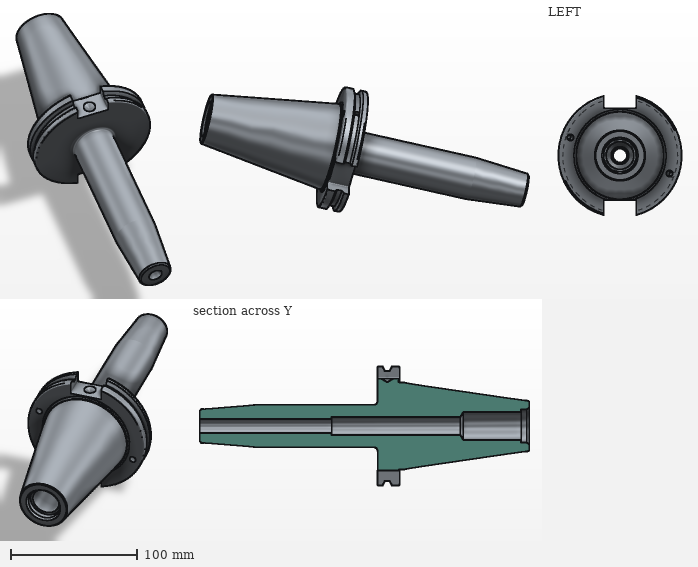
import cadquery as cq
import math

total_length = 261.5

taper_length = 101.5
taper_large_dia = 69.8
taper_ratio = 7 / 24
taper_edge_chamfer = 0.8

neck_dia = 69.3
undercut_dia = 73.2

flange_dia = 98.0
flange_rear_x = 102.8
flange_front_x = 120.5
flange_fillet = 1.3

groove_x = 112.7
groove_mouth_width = 7.0
groove_floor_width = 4.0
groove_depth = 3.5

slot_width = 25.6
slot_top_floor = 37.7
slot_bottom_floor = 35.3
slot_fillet = 0.8

drill_tip_angle = 118

dimple_dia = 9.5

shank_dia = 34.0
shank_fillet = 2.5
nose_start_x = 217.0
nose_half_angle = 4.5
nose_chamfer = 1.3

mouth_dia = 28.8
mouth_depth = 2.0
pilot_dia = 26.2
pilot_depth = 6.5
drawbar_bore_dia = 22.0
drawbar_bore_depth = 52.3
coolant_dia = 14.0
coolant_depth = 157.0
tool_bore_dia = 11.0

feed_angle = 20
feed_radius = 41.9
feed_dia = 5.0
feed_depth = 10.0
outlet_dia = 4.0

taper_small_dia = taper_large_dia - taper_ratio * taper_length
nose_length = total_length - nose_start_x
nose_end_dia = shank_dia - 2 * nose_length * math.tan(math.radians(nose_half_angle))
undercut_radius = (undercut_dia - neck_dia) / 4
flange_radius = flange_dia / 2
groove_floor_radius = flange_radius - groove_depth


def revolve_about_x(points):
    """Solid of revolution about the X axis from (x, radius) points."""
    return cq.Workplane("XY").polyline(points).close().revolve(360, (0, 0, 0), (1, 0, 0))


def make_body():
    """Taper, neck, grooved flange, shank and nose as one turned solid."""
    neck_radius = neck_dia / 2
    shank_radius = shank_dia / 2
    outline = (
        cq.Workplane("XY")
        .lineTo(0, taper_small_dia / 2 - taper_edge_chamfer)
        .lineTo(taper_edge_chamfer, taper_small_dia / 2)
        .lineTo(taper_length, taper_large_dia / 2)
        .lineTo(taper_length, neck_radius)
        .lineTo(flange_rear_x, neck_radius)
        .threePointArc(
            (flange_rear_x + undercut_radius, neck_radius + undercut_radius),
            (flange_rear_x, undercut_dia / 2),
        )
        .lineTo(flange_rear_x, flange_radius - flange_fillet)
        .radiusArc((flange_rear_x + flange_fillet, flange_radius), flange_fillet)
        .lineTo(groove_x - groove_mouth_width / 2, flange_radius)
        .lineTo(groove_x - groove_floor_width / 2, groove_floor_radius)
        .lineTo(groove_x + groove_floor_width / 2, groove_floor_radius)
        .lineTo(groove_x + groove_mouth_width / 2, flange_radius)
        .lineTo(flange_front_x - flange_fillet, flange_radius)
        .radiusArc((flange_front_x, flange_radius - flange_fillet), flange_fillet)
        .lineTo(flange_front_x, shank_radius + shank_fillet)
        .radiusArc((flange_front_x + shank_fillet, shank_radius), -shank_fillet)
        .lineTo(nose_start_x, shank_radius)
        .lineTo(total_length - nose_chamfer, nose_end_dia / 2)
        .lineTo(total_length, nose_end_dia / 2 - nose_chamfer)
        .lineTo(total_length, 0)
        .close()
    )
    return outline.revolve(360, (0, 0, 0), (1, 0, 0))


def drill_point_length(large_dia, small_dia=0):
    """Axial length of a drill-point cone between two diameters."""
    return (large_dia - small_dia) / 2 / math.tan(math.radians(drill_tip_angle / 2))


def make_bore():
    """Stepped through bore: chamfered mouth, pilot, drawbar bore, coolant bore, tool bore."""
    cone_length = drill_point_length(drawbar_bore_dia, coolant_dia)
    return revolve_about_x([
        (0, 0),
        (0, mouth_dia / 2),
        (mouth_depth, pilot_dia / 2),
        (pilot_depth, pilot_dia / 2),
        (pilot_depth, drawbar_bore_dia / 2),
        (drawbar_bore_depth, drawbar_bore_dia / 2),
        (drawbar_bore_depth + cone_length, coolant_dia / 2),
        (coolant_depth, coolant_dia / 2),
        (coolant_depth, tool_bore_dia / 2),
        (total_length, tool_bore_dia / 2),
        (total_length, 0),
    ])


def make_drive_slot(floor, turn):
    """Slot cutter above the floor, turned about the part's axis."""
    length = flange_front_x - flange_rear_x
    depth = flange_radius - floor
    center = (flange_rear_x + length / 2, 0, floor + depth / 2)
    cutter = cq.Workplane("XY").box(length, slot_width, depth).translate(center)
    cutter = cutter.faces("<Z").edges("|X").fillet(slot_fillet)
    return cutter.rotate((0, 0, 0), (1, 0, 0), turn)


def make_dimple():
    """Cone whose wide end lies on the top slot floor."""
    depth = drill_point_length(dimple_dia)
    cone = cq.Solid.makeCone(0, dimple_dia / 2, depth)
    return cq.Workplane(cone).translate((groove_x, 0, slot_top_floor - depth))


def make_feed_hole():
    """Blind hole in the rear flange face with a radial outlet into the groove, on the +Y side."""
    tip_length = drill_point_length(feed_dia)
    hole = revolve_about_x([
        (flange_rear_x, 0),
        (flange_rear_x, feed_dia / 2),
        (flange_rear_x + feed_depth - tip_length, feed_dia / 2),
        (flange_rear_x + feed_depth, 0),
    ]).translate((0, feed_radius, 0))
    outlet = cq.Solid.makeCylinder(
        outlet_dia / 2,
        flange_radius - feed_radius,
        cq.Vector(groove_x, feed_radius, 0),
        cq.Vector(0, 1, 0),
    )
    return hole.union(cq.Workplane(outlet))


result = make_body()
result = result.cut(make_bore())
result = result.cut(make_drive_slot(slot_top_floor, 0))
result = result.cut(make_drive_slot(slot_bottom_floor, 180))
result = result.cut(make_dimple())
for turn in (0, 180):
    result = result.cut(make_feed_hole().rotate((0, 0, 0), (1, 0, 0), feed_angle + turn))